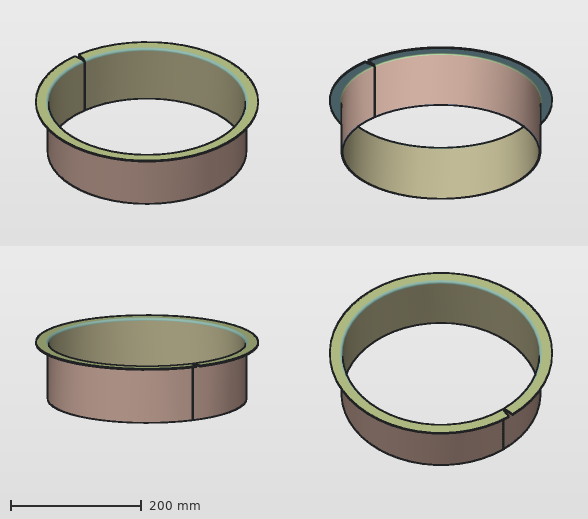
import cadquery as cq
import math

flange_radius = 170.0
height = 90.0
sheet = 2.0
wall_radius = 152.3
bend_outer = 2.0
rim_round = 1.0
slit_width = 0.7
notch_outer_width = 7.0
notch_inner_width = 2.7

bore_radius = wall_radius - sheet
bend_inner = bend_outer + sheet
bend_start = wall_radius + bend_outer
bend_bottom = height - bend_inner
diagonal = math.sqrt(0.5)


def flanged_ring():
    """Revolve the bent sheet section around Z."""
    section = (
        cq.Workplane("XZ")
        .moveTo(bore_radius, 0)
        .lineTo(wall_radius - rim_round, 0)
        .radiusArc((wall_radius, rim_round), -rim_round)
        .lineTo(wall_radius, bend_bottom)
        .threePointArc(
            (bend_start - bend_outer * diagonal, bend_bottom + bend_outer * diagonal),
            (bend_start, height - sheet),
        )
        .lineTo(flange_radius, height - sheet)
        .lineTo(flange_radius, height)
        .lineTo(bend_start, height)
        .threePointArc(
            (bend_start - bend_inner * diagonal, bend_bottom + bend_inner * diagonal),
            (bore_radius, bend_bottom),
        )
        .close()
    )
    ring = section.revolve(360, (0, 0, 0), (0, 1, 0))
    return ring.rotate((0, 0, 0), (0, 0, 1), 180)


def split_cutter():
    """Gap on the -X side: a narrow slit that opens as a wedge through the flange."""
    overrun = 3.5
    taper = (notch_outer_width - notch_inner_width) / (flange_radius - bend_start)
    end_x = -(flange_radius + overrun)
    end_half = (notch_outer_width + taper * overrun) / 2
    slit_end = -(bore_radius - overrun)
    outline = [
        (slit_end, slit_width / 2),
        (-bend_start, slit_width / 2),
        (-bend_start, notch_inner_width / 2),
        (end_x, end_half),
        (end_x, -end_half),
        (-bend_start, -notch_inner_width / 2),
        (-bend_start, -slit_width / 2),
        (slit_end, -slit_width / 2),
    ]
    return cq.Workplane("XY").polyline(outline).close().extrude(height)


result = flanged_ring().cut(split_cutter())